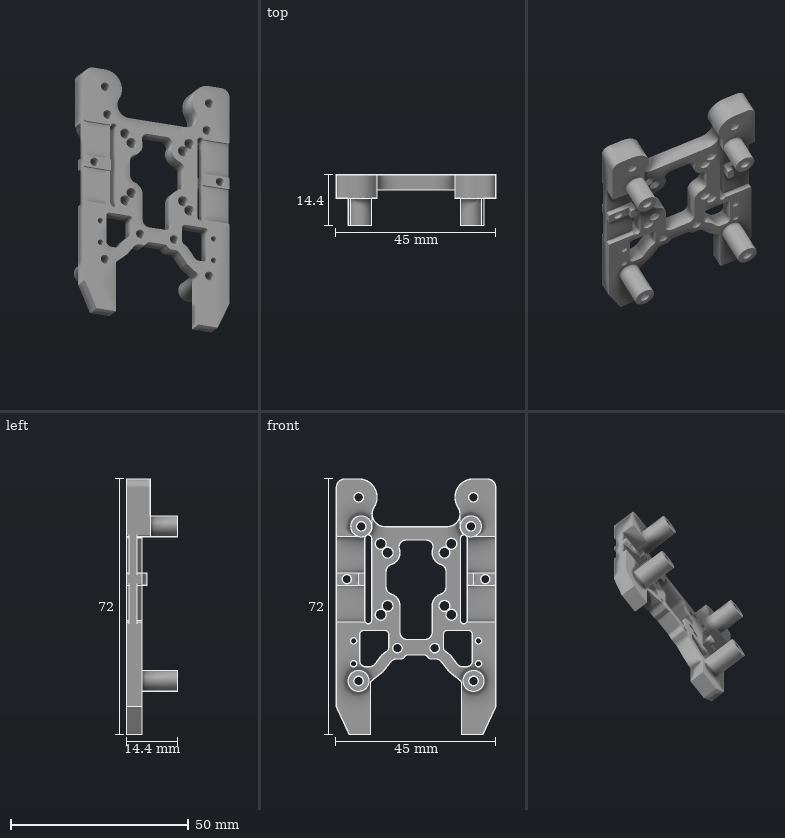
import cadquery as cq
import math


half_width = 22.5
height = 72.05
mid_z = 43.75

plate_depth = 4.4
block_depth = 6.7
boss_depth = 14.4
rail_back = 0.7
rail_front = 3.0
tab_rib_depth = 5.8

block_inner_x = 12.35
block_corner_radius = 2.5
block_foot_radius = 3.0
ear_x = 16.15
ear_radius = 5.2
ear_z = height - ear_radius
neck_radius = 3.5
neck_x = block_inner_x - neck_radius
neck_z = ear_z - math.sqrt((ear_radius + neck_radius) ** 2 - (ear_x - neck_x) ** 2)
crossbar_top = neck_z - neck_radius

leg_inner_x = 12.8
leg_tip_x = 18.85
leg_taper_z = 7.85
arch_top_z = 22.4
arch_step_z = 21.25
arch_step_x = (2.75, 3.8)
arch_shoulder_x = 6.5
arch_knee = (9.3, 17.7)
arch_foot_z = 14.9
arch_small_radius = 1.0
arch_large_radius = 2.0

rail_inner_x = 14.4
rail_half_height = 12.0
slot_inner_x = 12.55
slot_half_height = 12.5
edge_radius = 0.5
tab_lower_radius = 0.3
tab_half_height = 1.75
tab_z = 43.8
tab_rib_x = 16.25

window_top_z = 54.75
window_top_x = 4.75
window_top_radius = 1.8
window_mid_x = 8.4
window_mid_radius = 2.0
window_bottom_z = 26.8
window_bottom_radius = 2.0
screw_pad_radius = 3.5

pocket_outer_x = 15.8
pocket_inner_x = 7.75
pocket_top_z = 29.3
pocket_bottom_z = 19.15
pocket_bend_z = 23.8
pocket_knee = (9.5, 22.7)
pocket_slant_end_x = 12.1
pocket_top_radius = 1.0
pocket_bend_radius = 1.2
pocket_knee_radius = 6.5
pocket_slant_radius = 2.0
pocket_foot_radius = 1.5

boss_diameter = 5.9
upper_boss = (15.45, 58.65)
lower_boss = (16.2, 15.1)
fastener_diameter = 2.6
bridge_hole = (5.25, 24.35)
tab_hole = (19.5, tab_z)
tab_hole_diameter = 2.5
screw_diameter = 3.0
inner_screw_x = 8.0
inner_screw_rise = 7.5
outer_screw_x = 9.95
outer_screw_rise = 10.0
pin_diameter = 1.7
pin_x = 17.6
pin_heights = (19.95, 26.4)


def at_depth(depth):
    """Workplane parallel to the back face; positive extrusion runs toward -Y."""
    return cq.Workplane("XZ", origin=(0, -depth, 0))


def polar(center, radius, angle):
    """Point on a circle, with the angle in radians from +X."""
    return (center[0] + radius * math.cos(angle), center[1] + radius * math.sin(angle))


def cylinders(points, diameter, depth):
    return at_depth(0).pushPoints(points).circle(diameter / 2).extrude(depth)


def rounded_prism(corners, depth):
    """Prism from the back face; each corner is (x, z, radius), with radius 0 for a sharp one."""
    path = at_depth(0)
    count = len(corners)
    for i, (x, z, radius) in enumerate(corners):
        before = corners[i - 1]
        after = corners[(i + 1) % count]
        to_before = math.atan2(before[1] - z, before[0] - x)
        to_after = math.atan2(after[1] - z, after[0] - x)
        half_angle = math.acos(math.cos(to_after - to_before)) / 2
        setback = radius / math.tan(half_angle)
        start = polar((x, z), setback, to_before)
        path = path.moveTo(*start) if i == 0 else path.lineTo(*start)
        if radius > 0:
            bisector = math.atan2(math.sin(to_before) + math.sin(to_after),
                                  math.cos(to_before) + math.cos(to_after))
            middle = polar((x, z), radius / math.sin(half_angle) - radius, bisector)
            path = path.threePointArc(middle, polar((x, z), setback, to_after))
    return path.close().extrude(depth)


def make_plate():
    return rounded_prism([
        (0, arch_top_z, 0),
        (arch_step_x[0], arch_top_z, arch_small_radius),
        (arch_step_x[1], arch_step_z, arch_small_radius),
        (arch_shoulder_x, arch_step_z, arch_large_radius),
        (*arch_knee, arch_large_radius),
        (leg_inner_x, arch_foot_z, arch_small_radius),
        (leg_inner_x, 0, 0),
        (leg_tip_x, 0, 0),
        (half_width, leg_taper_z, 0),
        (half_width, ear_z, 0),
        (block_inner_x, ear_z, 0),
        (block_inner_x, crossbar_top, neck_radius),
        (0, crossbar_top, 0),
    ], plate_depth)


def make_block():
    block_bottom = mid_z + rail_half_height
    foot = (block_inner_x + block_foot_radius, block_bottom + block_foot_radius)
    ear = (ear_x, ear_z)
    neck = (neck_x, neck_z)
    neck_angle = math.atan2(ear_z - neck_z, ear_x - neck_x)
    corner = (half_width - block_corner_radius, height - block_corner_radius)
    return (
        at_depth(0)
        .moveTo(half_width, block_bottom)
        .lineTo(half_width, corner[1])
        .threePointArc(polar(corner, block_corner_radius, math.pi / 4), (corner[0], height))
        .lineTo(ear_x, height)
        .threePointArc(polar(ear, ear_radius, math.pi), polar(neck, neck_radius, neck_angle))
        .threePointArc(polar(neck, neck_radius, neck_angle / 2), (block_inner_x, neck_z))
        .lineTo(block_inner_x, foot[1])
        .threePointArc(polar(foot, block_foot_radius, 5 * math.pi / 4), (foot[0], block_bottom))
        .close()
        .extrude(block_depth)
    )


def rail_recess(depth_from, depth_to):
    """Pocket beside the slot, flaring out where the steps round into the outer side."""
    bottom = mid_z - rail_half_height
    top = mid_z + rail_half_height
    curve_x = half_width - edge_radius
    arc_offset = edge_radius * math.sqrt(0.5)
    return (
        at_depth(depth_from)
        .moveTo(rail_inner_x, bottom)
        .lineTo(curve_x, bottom)
        .threePointArc((curve_x + arc_offset, bottom - edge_radius + arc_offset),
                       (half_width, bottom - edge_radius))
        .lineTo(half_width, top + edge_radius)
        .threePointArc((curve_x + arc_offset, top + edge_radius - arc_offset), (curve_x, top))
        .lineTo(rail_inner_x, top)
        .close()
        .extrude(depth_to - depth_from)
    )


def make_tab():
    """Pad around the tab hole with a taller rib along the slot; flush with the back face."""
    bottom = tab_z - tab_half_height
    top = tab_z + tab_half_height

    def slab(x_max, depth):
        return rounded_prism([
            (rail_inner_x, bottom, tab_lower_radius),
            (x_max, bottom, tab_lower_radius),
            (x_max, top, edge_radius),
            (rail_inner_x, top, edge_radius),
        ], depth)

    return slab(half_width, plate_depth).union(slab(tab_rib_x, tab_rib_depth))


def make_bosses():
    return cylinders([upper_boss, lower_boss], boss_diameter, boss_depth).cut(rail_recess(0, rail_back))


def make_slot():
    width = rail_inner_x - slot_inner_x
    return (
        at_depth(0)
        .center((rail_inner_x + slot_inner_x) / 2, mid_z)
        .slot2D(2 * slot_half_height, width, 90)
        .extrude(block_depth)
    )


def make_window():
    """Half of the central opening, stepping around the pads of the two inner screw holes."""
    upper = (inner_screw_x, mid_z + inner_screw_rise)
    lower = (inner_screw_x, mid_z - inner_screw_rise)
    wall_angle = math.acos((window_top_x - inner_screw_x) / screw_pad_radius)
    fillet_x = window_mid_x - window_mid_radius
    fillet_angle = math.acos((fillet_x - inner_screw_x) / (screw_pad_radius + window_mid_radius))
    fillet_drop = (screw_pad_radius + window_mid_radius) * math.sin(fillet_angle)
    upper_fillet = (fillet_x, upper[1] - fillet_drop)
    lower_fillet = (fillet_x, lower[1] + fillet_drop)
    fillet_middle = (math.pi - fillet_angle) / 2
    bottom_x = inner_screw_x - screw_pad_radius
    top_corner = (window_top_x - window_top_radius, window_top_z - window_top_radius)
    bottom_corner = (bottom_x - window_bottom_radius, window_bottom_z + window_bottom_radius)
    return (
        at_depth(0)
        .moveTo(0, window_top_z)
        .lineTo(top_corner[0], window_top_z)
        .threePointArc(polar(top_corner, window_top_radius, math.pi / 4), (window_top_x, top_corner[1]))
        .lineTo(*polar(upper, screw_pad_radius, wall_angle))
        .threePointArc(polar(upper, screw_pad_radius, math.pi), polar(upper, screw_pad_radius, -fillet_angle))
        .threePointArc(polar(upper_fillet, window_mid_radius, fillet_middle), (window_mid_x, upper_fillet[1]))
        .lineTo(window_mid_x, lower_fillet[1])
        .threePointArc(polar(lower_fillet, window_mid_radius, -fillet_middle),
                       polar(lower, screw_pad_radius, fillet_angle))
        .threePointArc(polar(lower, screw_pad_radius, (math.pi + fillet_angle) / 2), (bottom_x, lower[1]))
        .lineTo(bottom_x, bottom_corner[1])
        .threePointArc(polar(bottom_corner, window_bottom_radius, -math.pi / 4),
                       (bottom_corner[0], window_bottom_z))
        .lineTo(0, window_bottom_z)
        .close()
        .extrude(plate_depth)
    )


def make_pocket():
    return rounded_prism([
        (pocket_outer_x, pocket_top_z, pocket_top_radius),
        (pocket_inner_x, pocket_top_z, pocket_top_radius),
        (pocket_inner_x, pocket_bend_z, pocket_bend_radius),
        (*pocket_knee, pocket_knee_radius),
        (pocket_slant_end_x, pocket_bottom_z, pocket_slant_radius),
        (pocket_outer_x, pocket_bottom_z, pocket_foot_radius),
    ], plate_depth)


def cut_holes(body):
    fasteners = [(ear_x, ear_z), upper_boss, lower_boss, bridge_hole]
    screws = []
    for side in (1, -1):
        screws.append((inner_screw_x, mid_z + side * inner_screw_rise))
        screws.append((outer_screw_x, mid_z + side * outer_screw_rise))
    pins = [(pin_x, z) for z in pin_heights]
    body = body.cut(cylinders(fasteners, fastener_diameter, boss_depth))
    body = body.cut(cylinders(screws, screw_diameter, plate_depth))
    body = body.cut(cylinders(pins, pin_diameter, plate_depth))
    return body.cut(cylinders([tab_hole], tab_hole_diameter, plate_depth))


half = make_plate().union(make_block())
half = half.cut(rail_recess(0, rail_back)).cut(rail_recess(rail_front, block_depth))
half = half.union(make_tab())
half = half.union(make_bosses())
half = half.cut(make_slot()).cut(make_window()).cut(make_pocket())
half = cut_holes(half)

result = half.union(half.mirror("YZ")).clean()